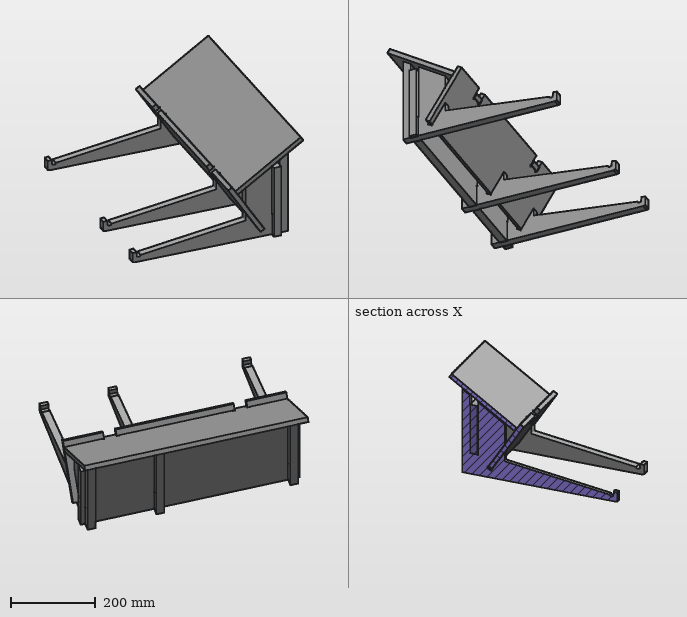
import cadquery as cq
import math


panel_width = 550.35
panel_thickness = 12.0
slope = math.radians(33.0)
rear_overhang = 34.0
overall_depth = 434.58
top_height = 254.08
top_length = 201.4
front_rise = 15.0
front_height = 153.6

tab_spacing = 322.0
tab_width = 30.0
tab_proud = 2.6
notch_width = 31.0
relief_radius = 3.0

board_length = 540.3
board_thickness = 19.0
board_bottom = -2.0
board_top = 183.0
board_rear = 20.4
lap_height = 54.0

bracket_thickness = 19.5
bracket_places = [(-250.2, 0.0), (79.8, 0.0), (249.8, 1.7)]
bracket_depth = 109.9
bracket_reach = overall_depth - rear_overhang
panel_gap = 1.5
board_slot_clearance = 1.0
slot_end_gap = 3.0
arm_root_height = 51.4
arm_end_height = 17.0
arm_end = 379.8
notch_length = 9.5
notch_depth = 3.5
hook_rise = 11.3
root_fillet = 1.5
tip_relief_length = 5.5
tip_relief_height = 1.9

slope_run = math.cos(slope)
slope_drop = math.sin(slope)

rear_edge_y = rear_overhang - panel_thickness * slope_drop
top_plane = cq.Plane(
    origin=(0, rear_edge_y, top_height), xDir=(1, 0, 0), normal=(0, -slope_drop, slope_run)
)
front_plane = cq.Plane(
    origin=(0, rear_edge_y - top_length * slope_run, top_height - top_length * slope_drop),
    xDir=(1, 0, 0),
    normal=(0, -slope_run, -slope_drop),
)
tab_centres = [-tab_spacing / 2, tab_spacing / 2]
front_bottom = front_rise - front_height


def slab(plane, width, low, high, thickness, centre=0.0):
    """Flat block on a plane, spanning low to high along the local Y axis."""
    return (
        cq.Workplane(plane)
        .center(centre, (low + high) / 2)
        .rect(width, high - low)
        .extrude(thickness)
    )


def reliefs(plane, level, offset, thickness):
    """Pairs of round reliefs about every tab centre."""
    points = [(x + side * offset, level) for x in tab_centres for side in (-1, 1)]
    return cq.Workplane(plane).pushPoints(points).circle(relief_radius).extrude(thickness)


def make_top_panel():
    panel = slab(top_plane, panel_width, -top_length, 0, -panel_thickness)
    tab_end = -top_length - panel_thickness - tab_proud
    for x in tab_centres:
        panel = panel.union(slab(top_plane, tab_width, tab_end, -top_length, -panel_thickness, x))
    return panel.cut(reliefs(top_plane, -top_length, tab_width / 2 + relief_radius, -panel_thickness))


def make_front_panel():
    panel = slab(front_plane, panel_width, front_bottom, front_rise, panel_thickness)
    for x in tab_centres:
        panel = panel.cut(slab(front_plane, notch_width, -panel_thickness, front_rise, panel_thickness, x))
    relief_offset = notch_width / 2 - relief_radius
    return panel.cut(reliefs(front_plane, -panel_thickness, relief_offset, panel_thickness))


def bracket_top(y):
    """Height of the sloping bracket edge at a given Y."""
    upper_face = top_height + (y - rear_edge_y) * math.tan(slope)
    return upper_face - (panel_thickness + panel_gap) / slope_run


def bracket_blank(x):
    """Bracket outline without its slots; the hook and its notch are square to the top of the arm."""
    front = -bracket_depth
    tip = -bracket_reach
    arm_slope = math.atan2(arm_root_height - arm_end_height, arm_end - bracket_depth)

    def arm_point(along, above):
        """Point measured along the arm from the notch, and square to the top of the arm."""
        return (
            -arm_end - along * math.cos(arm_slope) - above * math.sin(arm_slope),
            arm_end_height - along * math.sin(arm_slope) + above * math.cos(arm_slope),
        )

    hook_inner_y, hook_inner_z = arm_point(notch_length, hook_rise)
    hook_tip_z = hook_inner_z - (hook_inner_y - tip) * math.tan(arm_slope)
    blank = (
        cq.Workplane("YZ", origin=(x - bracket_thickness / 2, 0, 0))
        .moveTo(0, 0)
        .lineTo(0, bracket_top(0))
        .lineTo(front, bracket_top(front))
        .lineTo(front, arm_root_height)
        .lineTo(*arm_point(0, 0))
        .threePointArc(arm_point(notch_length / 2, -notch_depth), arm_point(notch_length, 0))
        .lineTo(hook_inner_y, hook_inner_z)
        .lineTo(tip, hook_tip_z)
        .lineTo(tip, tip_relief_height)
        .lineTo(tip + tip_relief_length, 0)
        .close()
        .extrude(bracket_thickness)
    )
    root_edge = cq.selectors.NearestToPointSelector((x, front, arm_root_height))
    return blank.edges(root_edge).fillet(root_fillet)


def make_bracket(x, shift):
    blank = bracket_blank(x).translate((0, shift, 0))
    slot_length = board_thickness + board_slot_clearance
    board_slot = cq.Workplane("XY", origin=(x, -board_rear - slot_length / 2, lap_height)).box(
        bracket_thickness, slot_length, top_height, centered=(True, True, False)
    )
    panel_slot = slab(
        front_plane, bracket_thickness, front_bottom - slot_end_gap, front_rise, panel_thickness, x
    )
    return blank.cut(board_slot).cut(panel_slot)


def make_cross_board():
    base = cq.Workplane("XY", origin=(0, -board_rear - board_thickness / 2, board_bottom))
    board = base.box(board_length, board_thickness, board_top - board_bottom, centered=(True, True, False))
    for x, _ in bracket_places:
        lap = base.center(x, 0).box(
            bracket_thickness, board_thickness, lap_height - board_bottom, centered=(True, True, False)
        )
        board = board.cut(lap)
    return board


top_panel = make_top_panel()
front_panel = make_front_panel()
cross_board = make_cross_board()
brackets = [make_bracket(x, shift) for x, shift in bracket_places]

result = cq.Compound.makeCompound(
    [top_panel.val(), front_panel.val(), cross_board.val()] + [bracket.val() for bracket in brackets]
)